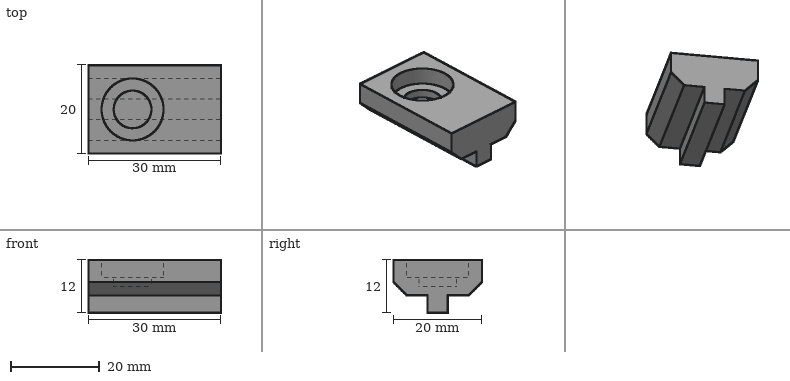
import cadquery as cq

length = 30.0
width = 20.0
height = 12.0

side_height = 5.0
chamfer = 3.0
tongue_width = 4.62
tongue_height = height - side_height - chamfer

hole_x = 10.0
counterbore_diameter = 14.0
counterbore_depth = 4.0
bore_diameter = 8.52
bore_depth = 6.0


def make_body():
    """Extrude the T-shaped section along X, with its base at Z = 0."""
    half_width = width / 2
    half_base = half_width - chamfer
    half_tongue = tongue_width / 2
    chamfer_top = height - side_height
    right_side = [
        (half_tongue, 0),
        (half_tongue, tongue_height),
        (half_base, tongue_height),
        (half_width, chamfer_top),
        (half_width, height),
    ]
    left_side = [(-y, z) for y, z in reversed(right_side)]
    return cq.Workplane("YZ").polyline(right_side + left_side).close().extrude(length)


def make_blind_hole(diameter, depth):
    """Cylinder reaching down from the top face at the hole position."""
    top_plane = cq.Workplane("XY", origin=(hole_x, 0, height))
    return top_plane.circle(diameter / 2).extrude(-depth)


result = (
    make_body()
    .cut(make_blind_hole(counterbore_diameter, counterbore_depth))
    .cut(make_blind_hole(bore_diameter, bore_depth))
)